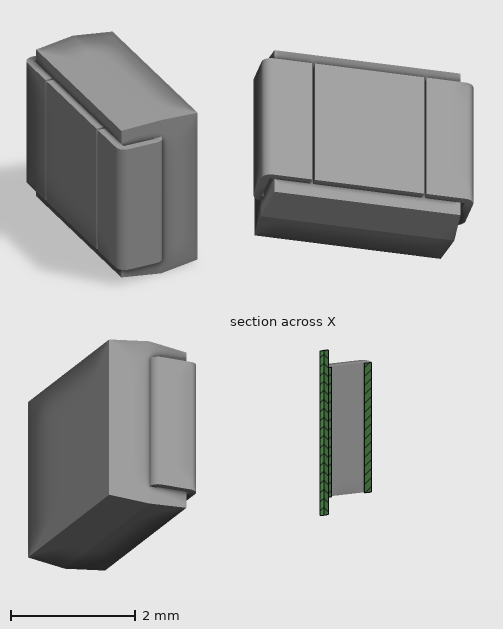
import cadquery as cq
import math

LENGTH = 3.5
DEPTH = 1.5
HEIGHT = 2.8

SHEET = 0.13
LEAD_HEIGHT = 2.2
BEND_RADIUS = 0.15
PAD_WIDTH = 1.8
PAD_GAP = 0.05

BODY_LENGTH = 3.2
DRAFT_ANGLE = 5.0

FRONT_Y = -DEPTH / 2
BODY_FRONT_Y = FRONT_Y + SHEET
HALF_DEPTH = (DEPTH - SHEET) / 2
PARTING_Y = BODY_FRONT_Y + HALF_DEPTH


def make_package_half(direction):
    """Half package growing from the parting plane along Y (+1 back, -1 front)."""
    plane = cq.Plane(origin=(0, PARTING_Y, 0), xDir=(1, 0, 0), normal=(0, direction, 0))
    return (
        cq.Workplane(plane)
        .rect(BODY_LENGTH, HEIGHT)
        .extrude(HALF_DEPTH, taper=DRAFT_ANGLE)
    )


def make_lead(side):
    """C-shaped lead folded from the package side to its front face (side +1 or -1)."""
    outer_x = LENGTH / 2
    foot_x = PAD_WIDTH / 2 + PAD_GAP
    side_x = BODY_LENGTH / 2
    inner_y = PARTING_Y - SHEET
    inner_side_x = side_x - SHEET * math.tan(math.radians(DRAFT_ANGLE))
    inner_radius = BEND_RADIUS - SHEET
    inner_wall_x = outer_x - SHEET
    bend_x = outer_x - BEND_RADIUS
    back_bend_y = PARTING_Y - BEND_RADIUS
    front_bend_y = FRONT_Y + BEND_RADIUS
    outer_mid = BEND_RADIUS * math.sqrt(0.5)
    inner_mid = inner_radius * math.sqrt(0.5)

    def at(x, y):
        return (side * x, y)

    return (
        cq.Workplane("XY", origin=(0, 0, -LEAD_HEIGHT / 2))
        .moveTo(*at(foot_x, FRONT_Y))
        .lineTo(*at(bend_x, FRONT_Y))
        .threePointArc(at(bend_x + outer_mid, front_bend_y - outer_mid), at(outer_x, front_bend_y))
        .lineTo(*at(outer_x, back_bend_y))
        .threePointArc(at(bend_x + outer_mid, back_bend_y + outer_mid), at(side_x, PARTING_Y))
        .lineTo(*at(inner_side_x, inner_y))
        .lineTo(*at(bend_x, inner_y))
        .threePointArc(at(bend_x + inner_mid, back_bend_y + inner_mid), at(inner_wall_x, back_bend_y))
        .lineTo(*at(inner_wall_x, front_bend_y))
        .threePointArc(at(bend_x + inner_mid, front_bend_y - inner_mid), at(bend_x, BODY_FRONT_Y))
        .lineTo(*at(foot_x, BODY_FRONT_Y))
        .close()
        .extrude(LEAD_HEIGHT)
    )


def make_pad():
    """Flat pad on the package front, between the lead feet."""
    return cq.Workplane("XY").box(PAD_WIDTH, SHEET, LEAD_HEIGHT).translate((0, FRONT_Y + SHEET / 2, 0))


back_half = make_package_half(1)
front_half = make_package_half(-1)
pad = make_pad()
leads = [make_lead(side) for side in (-1, 1)]

result = cq.Compound.makeCompound(
    [back_half.val(), front_half.val(), pad.val(), *[lead.val() for lead in leads]]
)